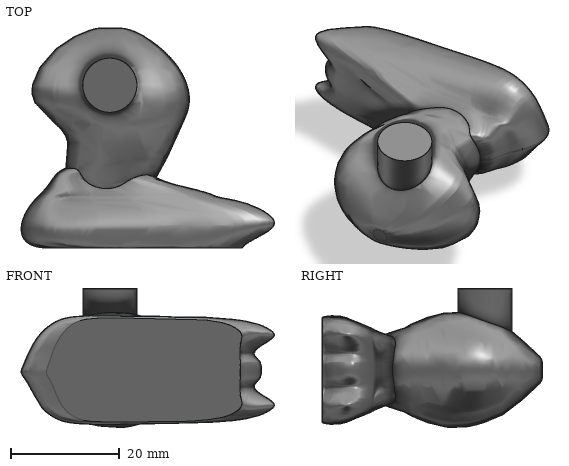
import cadquery as cq
import math


PEG_DIAMETER = 10.0
PEG_Y = 30.0
PEG_TOP = 14.95
PEG_BOTTOM = 5.6

FOOT_LEVELS = [
    (0.0, -11.65, 24.25, 9.5, 0.3, 1.0),
    (0.45, -14.2, 24.7, 9.75, 1.15, 1.0),
    (2.1, -16.0, 27.4, 9.95, 3.05, 1.0),
    (5.05, -16.05, 30.2, 9.45, 3.75, 0.98),
    (7.0, -15.15, 28.0, 8.8, 1.85, 0.91),
    (9.33, -13.35, 20.3, 7.9, 0.45, 0.79),
    (12.12, -10.9, 10.5, 6.57, 0.15, 0.84),
    (14.0, -9.4, 6.9, 5.8, 0.05, 0.92),
    (14.85, -7.95, 6.45, 5.05, 0.05, 1.0),
]
HEEL_LENGTH = 15.5
FOOT_LENGTH = 100.0
TOE_LENGTH = 13.0
HEEL_TIP_ROUNDING = 0.18
HEEL_SLOPE = 0.72
HEEL_SHOULDER = 0.93
TOE_SHOULDER = 0.94
OUTER_TOE_SIDE = 0.80
OUTER_TOE_TIP = 0.69
NOTCH_FLANK = 0.53
NOTCH_BOTTOM = 0.30
MIDDLE_TOE_SIDE = 0.15
FLANK_SETBACK = 0.4
MIDDLE_TOE_SIDE_SETBACK = 0.68
MIDDLE_TOE_SETBACK = 0.62

HEAD_LEVELS = [
    (7.95, -4.2, 4.65, 4.2),
    (9.33, -6.55, 6.05, 5.5),
    (11.65, -7.7, 7.7, 6.6),
    (15.15, -8.05, 9.8, 7.95),
    (19.4, -7.75, 11.8, 9.7),
    (21.55, -8.65, 12.78, 10.3),
    (24.0, -11.35, 13.9, 10.65),
    (26.8, -13.8, 14.65, 10.45),
    (30.0, -14.25, 14.2, 9.6),
    (33.2, -12.9, 12.65, 8.25),
    (36.7, -9.9, 9.45, 5.6),
    (38.95, -6.55, 6.4, 3.55),
    (40.1, -3.75, 3.95, 2.42),
    (40.5, -1.4, 1.4, 1.4),
]
HEAD_SECTION_POINTS = 16


def closed_section(points):
    """Smooth closed wire through the given points."""
    vectors = [cq.Vector(*point) for point in points]
    return cq.Wire.assembleEdges([cq.Edge.makeSpline(vectors, periodic=True)])


def foot_section(y, heel, toe, half_width, notch_depth, waist):
    """Level outline of the foot: pointed heel, straight sides and three toes."""
    scale = (toe - heel) / FOOT_LENGTH
    heel_length = HEEL_LENGTH * scale
    toe_length = TOE_LENGTH * scale
    upper_side = [
        (heel + 0.10 * heel_length, HEEL_TIP_ROUNDING * half_width),
        (heel + 0.55 * heel_length, HEEL_SLOPE * half_width),
        (heel + heel_length, HEEL_SHOULDER * waist * half_width),
        (heel + 1.6 * heel_length, waist * half_width),
        (0.5 * (heel + toe), 0.5 * (1 + waist) * half_width),
        (toe - toe_length, TOE_SHOULDER * half_width),
        (toe - 0.2 * toe_length, OUTER_TOE_SIDE * half_width),
        (toe, OUTER_TOE_TIP * half_width),
        (toe - FLANK_SETBACK * notch_depth, NOTCH_FLANK * half_width),
        (toe - notch_depth, NOTCH_BOTTOM * half_width),
        (toe - MIDDLE_TOE_SIDE_SETBACK * notch_depth, MIDDLE_TOE_SIDE * half_width),
    ]
    heel_tip = [(heel, 0)]
    middle_toe = [(toe - MIDDLE_TOE_SETBACK * notch_depth, 0)]
    lower_side = [(x, -z) for x, z in reversed(upper_side)]
    outline = heel_tip + upper_side + middle_toe + lower_side
    return closed_section([(x, y, z) for x, z in outline])


def head_section(y, left, right, half_thickness):
    """Elliptical level outline of the head."""
    center = 0.5 * (left + right)
    half_width = 0.5 * (right - left)
    angles = [2 * math.pi * i / HEAD_SECTION_POINTS for i in range(HEAD_SECTION_POINTS)]
    return closed_section(
        [(center + half_width * math.cos(a), y, half_thickness * math.sin(a)) for a in angles]
    )


def make_peg():
    """Cylinder standing in a socket in the head."""
    return (
        cq.Workplane("XY", origin=(0, PEG_Y, PEG_BOTTOM))
        .circle(PEG_DIAMETER / 2)
        .extrude(PEG_TOP - PEG_BOTTOM)
    )


def make_figure(peg):
    """Head and foot in one piece, with the socket that holds the peg."""
    foot = cq.Solid.makeLoft([foot_section(*level) for level in FOOT_LEVELS])
    head = cq.Solid.makeLoft([head_section(*level) for level in HEAD_LEVELS])
    return cq.Workplane(foot).union(cq.Workplane(head)).cut(peg)


peg = make_peg()
figure = make_figure(peg)

result = cq.Compound.makeCompound([figure.val(), peg.val()])